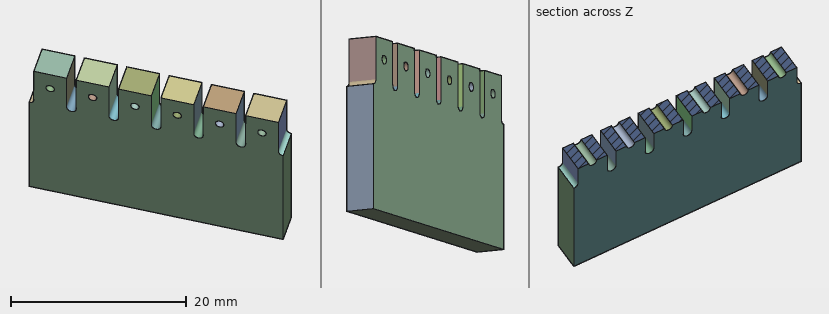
import cadquery as cq

length = 30.0
thickness = 3.5
height = 20.0

tooth_count = 6
pitch = length / tooth_count
slot_width = 1.1
slot_straight_depth = 5.0

hole_diameter = 1.0
hole_depth_from_top = 2.4

slot_radius = slot_width / 2
slot_arc_z = height - slot_straight_depth


def through_cylinder(x, z, radius):
    """Cylinder along Y through the full plate thickness."""
    return (
        cq.Workplane("XZ", origin=(x, thickness / 2, z))
        .circle(radius)
        .extrude(thickness)
    )


def slot(x):
    """Slot open at the top edge, with a half-round bottom."""
    straight = cq.Workplane("XY", origin=(x, 0, slot_arc_z)).box(
        slot_width, thickness, slot_straight_depth, centered=(True, True, False)
    )
    return straight.union(through_cylinder(x, slot_arc_z, slot_radius))


result = cq.Workplane("XY").box(length, thickness, height, centered=(True, True, False))

for index in range(tooth_count + 1):
    result = result.cut(slot(-length / 2 + index * pitch))

for index in range(tooth_count):
    tooth_x = -length / 2 + (index + 0.5) * pitch
    hole = through_cylinder(tooth_x, height - hole_depth_from_top, hole_diameter / 2)
    result = result.cut(hole)